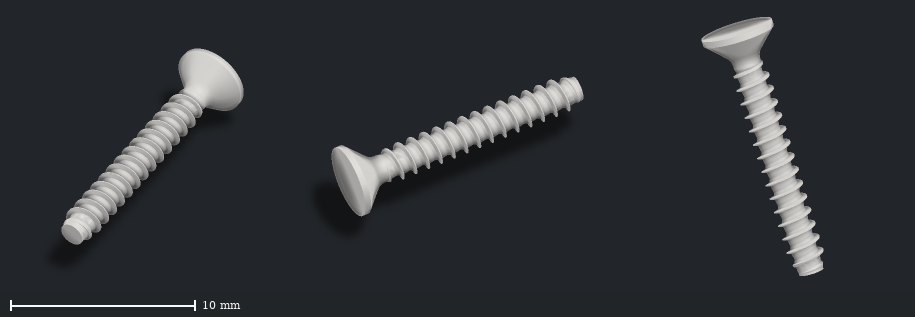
import cadquery as cq
import math

length = 14.0

head_radius = 2.0
rim_thickness = 0.35
neck_fillet_radius = 0.78
shank_radius = 0.77
shank_end_depth = 2.075
head_flank_angle = math.radians(45)

core_radius = 0.68
core_lead_in = 0.3

pitch = 0.78
crest_radius = 1.0
crest_width = 0.05
flank_foot_radius = 0.74
flank_base_width = 0.22
waist_head_offset = 0.28
turn_gap = 0.01
root_sink = 0.004
root_radius = core_radius - root_sink
crest_depth_at_plus_x = 3.266
turns_below_reference = 14
turn_count = 16

run_in_radius = 0.83
run_in_end_depth = 2.9
run_out_start_depth = 13.0
run_out_end_depth = 13.88
envelope_overrun = 0.05


def make_body():
    """Head, neck fillet, shank and plain core, turned about the axis."""
    fillet_radial = neck_fillet_radius * (1 - math.cos(head_flank_angle))
    fillet_axial = neck_fillet_radius * math.sin(head_flank_angle)
    flank_end_radius = shank_radius + fillet_radial
    flank_end_depth = rim_thickness + (head_radius - flank_end_radius) / math.tan(head_flank_angle)
    fillet_end_depth = flank_end_depth + fillet_axial
    half_angle = head_flank_angle / 2
    fillet_middle = (
        shank_radius + neck_fillet_radius * (1 - math.cos(half_angle)),
        -(fillet_end_depth - neck_fillet_radius * math.sin(half_angle)),
    )
    return (
        cq.Workplane("XY")
        .moveTo(0, 0)
        .lineTo(head_radius, 0)
        .lineTo(head_radius, -rim_thickness)
        .lineTo(flank_end_radius, -flank_end_depth)
        .threePointArc(fillet_middle, (shank_radius, -fillet_end_depth))
        .lineTo(shank_radius, -shank_end_depth)
        .lineTo(core_radius, -(shank_end_depth + core_lead_in))
        .lineTo(core_radius, -length)
        .lineTo(0, -length)
        .close()
        .revolve(360, (0, 0, 0), (0, 1, 0))
    )


def make_thread_ridge():
    """Right-handed ridge of constant section, longer than the threaded length at both ends."""
    start = -(crest_depth_at_plus_x + turns_below_reference * pitch)
    half_crest = crest_width / 2
    half_base = flank_base_width / 2
    head_side = start + waist_head_offset
    tip_side = head_side - pitch + turn_gap
    section = [
        (root_radius, head_side),
        (flank_foot_radius, start + half_base),
        (crest_radius, start + half_crest),
        (crest_radius, start - half_crest),
        (flank_foot_radius, start - half_base),
        (root_radius, tip_side),
    ]
    helix = cq.Wire.makeHelix(pitch, turn_count * pitch, core_radius, center=cq.Vector(0, 0, start))
    ridge = cq.Workplane("XZ").polyline(section).close().sweep(cq.Workplane(helix), isFrenet=True)
    return ridge.rotate((0, 0, 0), (1, 0, 0), -90)


def make_thread_envelope():
    """Turned limit of the thread: it rises below the shank and fades out before the tip."""
    outer_radius = crest_radius + envelope_overrun
    inner_radius = core_radius - envelope_overrun
    run_in_length = run_in_end_depth - shank_end_depth
    run_out_length = run_out_end_depth - run_out_start_depth
    run_in_overrun = envelope_overrun * run_in_length / (crest_radius - run_in_radius)
    run_out_overrun = envelope_overrun * run_out_length / (crest_radius - core_radius)
    return (
        cq.Workplane("XY")
        .moveTo(0, -shank_end_depth)
        .lineTo(run_in_radius, -shank_end_depth)
        .lineTo(outer_radius, -(run_in_end_depth + run_in_overrun))
        .lineTo(outer_radius, -(run_out_start_depth - run_out_overrun))
        .lineTo(inner_radius, -(run_out_end_depth + run_out_overrun))
        .lineTo(0, -(run_out_end_depth + run_out_overrun))
        .close()
        .revolve(360, (0, 0, 0), (0, 1, 0))
    )


thread = make_thread_ridge().intersect(make_thread_envelope())
result = make_body().union(thread)